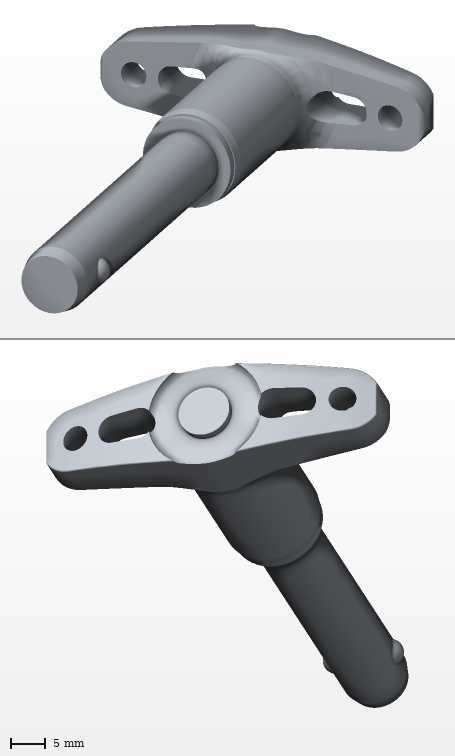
import cadquery as cq
import math


total_length = 85.4
handle_width = 51.5
handle_height = 15.8

pin_length = 49.6
pin_diameter = 10.0
pin_radius = pin_diameter / 2
tip_length = 2.3
tip_radius = 4.4
ball_radius = 2.0
ball_reach = 6.1
ball_from_tip = 7.7

sleeve_radius = 7.35
collar_radius = 6.9
collar_length = 1.4
rim_radius = 7.1
rim_end = 2.9
neck_fillet = 4.2

back_y = total_length - pin_length
crown_depth = 0.1
crown_radius = 89.7
underside_depth = 8.1
underside_end_depth = 8.8
end_lean = 0.8
end_round = 5.1
corner_radius = 1.0
crown_edge_fillet = 0.25

eye_radius = 2.0
eye_x = 20.2
slot_outer_x = 14.3
slot_outer_radius = 2.2
slot_inner_x = 10.25
slot_inner_radius = 2.5

button_radius = 3.85
dish_depth = 1.4
dish_radius = 8.7
dish_fillet = 1.1

half_width = handle_width / 2
hub_radius = handle_height / 2
root_y = back_y - underside_depth - 2 * neck_fillet
root_length = underside_depth / 2 + 2 * neck_fillet
diagonal = math.sqrt(0.5)


def tapered_outline(x_a, radius_a, x_b, radius_b):
    """Outline on XZ of two circles centred on the X axis, joined by their common tangents (x_a < x_b)."""
    sine = (radius_a - radius_b) / (x_b - x_a)
    cosine = math.sqrt(1 - sine**2)
    top_a = (x_a + radius_a * sine, radius_a * cosine)
    top_b = (x_b + radius_b * sine, radius_b * cosine)
    return (
        cq.Workplane("XZ")
        .moveTo(*top_a)
        .lineTo(*top_b)
        .threePointArc((x_b + radius_b, 0), (top_b[0], -top_b[1]))
        .lineTo(top_a[0], -top_a[1])
        .threePointArc((x_a - radius_a, 0), top_a)
        .close()
    )


def along_y(outline):
    """Extrude an XZ outline through the whole length of the part."""
    return outline.extrude(2 * total_length, both=True)


def revolve_about_pin(profile):
    """Close an XY profile and turn it around the pin axis."""
    return profile.close().revolve(360, (0, 0, 0), (0, 1, 0))


def handle_outline():
    """Solid prism whose XZ outline tapers from the hub to both rounded ends."""
    arm = along_y(tapered_outline(0, hub_radius, half_width - end_round, end_round))
    return arm.union(arm.mirror("YZ"))


def handle_bar():
    """Bar with a crowned back, a slightly hollow underside and leaning ends with a round lower corner."""
    top_x = half_width - end_lean
    end_drop = crown_radius - math.sqrt(crown_radius**2 - top_x**2)
    crown_y = back_y - crown_depth
    crown_end_y = crown_y - end_drop
    underside_end_x = half_width - corner_radius
    underside_end_y = back_y - underside_end_depth
    corner_y = underside_end_y + corner_radius
    inset = corner_radius * (1 - diagonal)
    return (
        cq.Workplane("XY")
        .moveTo(-top_x, crown_end_y)
        .threePointArc((0, crown_y), (top_x, crown_end_y))
        .lineTo(half_width, corner_y)
        .threePointArc((half_width - inset, underside_end_y + inset), (underside_end_x, underside_end_y))
        .threePointArc((0, back_y - underside_depth), (-underside_end_x, underside_end_y))
        .threePointArc((inset - half_width, underside_end_y + inset), (-half_width, corner_y))
        .lineTo(-top_x, crown_end_y)
        .close()
        .extrude(handle_height, both=True)
    )


def bar_with_neck():
    """The bar joined to the root of the sleeve by a concave fillet."""
    root = cq.Workplane("XZ", origin=(0, root_y, 0)).circle(sleeve_radius).extrude(-root_length)
    joined = handle_bar().union(root)
    junction = cq.selectors.NearestToPointSelector((0, back_y - underside_depth, sleeve_radius))
    return joined.edges(junction).fillet(neck_fillet)


def dish():
    """Recess in the crown: a flat floor with a rounded foot at its wall."""
    floor_y = back_y - dish_depth
    inset = dish_fillet * (1 - diagonal)
    profile = (
        cq.Workplane("XY")
        .moveTo(0, floor_y)
        .lineTo(dish_radius - dish_fillet, floor_y)
        .threePointArc((dish_radius - inset, floor_y + inset), (dish_radius, floor_y + dish_fillet))
        .lineTo(dish_radius, total_length)
        .lineTo(0, total_length)
    )
    return revolve_about_pin(profile)


def handle():
    """Handle with its neck, dished recess, and an eye and a tapered slot on each side."""
    bar = bar_with_neck().intersect(handle_outline())
    crown_edges = bar.faces(cq.selectors.NearestToPointSelector((0, back_y, 0))).edges()
    body = crown_edges.fillet(crown_edge_fillet).cut(dish())
    for side in (-1, 1):
        eye = along_y(cq.Workplane("XZ").center(side * eye_x, 0).circle(eye_radius))
        body = body.cut(eye)
    slot = along_y(tapered_outline(slot_inner_x, slot_inner_radius, slot_outer_x, slot_outer_radius))
    return body.cut(slot).cut(slot.mirror("YZ"))


def pin_and_sleeve():
    """Turned core: pin with a tapered tip, stepped sleeve, and the button at the back."""
    profile = (
        cq.Workplane("XY")
        .moveTo(0, -pin_length)
        .lineTo(tip_radius, -pin_length)
        .lineTo(pin_radius, tip_length - pin_length)
        .lineTo(pin_radius, 0)
        .lineTo(collar_radius, 0)
        .lineTo(collar_radius, collar_length)
        .lineTo(rim_radius, collar_length)
        .lineTo(sleeve_radius, rim_end)
        .lineTo(sleeve_radius, root_y)
        .lineTo(button_radius, root_y)
        .lineTo(button_radius, back_y)
        .lineTo(0, back_y)
    )
    return revolve_about_pin(profile)


def ball(side):
    """Locking ball that stands out of the pin on the -X or +X side (side is -1 or 1)."""
    centre = (side * (ball_reach - ball_radius), ball_from_tip - pin_length, 0)
    return cq.Workplane("XY").sphere(ball_radius).translate(centre)


result = handle().union(pin_and_sleeve()).union(ball(-1)).union(ball(1))